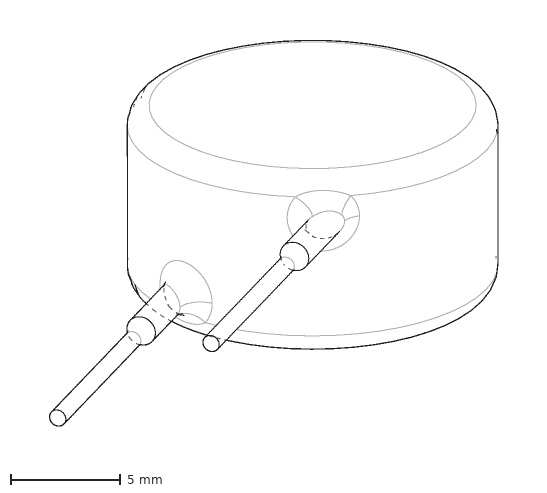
import cadquery as cq
import math

body_diameter = 17.0
body_height = 8.9
body_edge_radius = 1.0

lead_pitch = 7.5
lead_height_offset = 2.4
wire_diameter = 0.8
wire_reach = 15.0
coating_diameter = 1.4
coating_reach = 4.0
taper_radius = 2.2
root_fillet_radius = 1.0

body_radius = body_diameter / 2
wire_radius = wire_diameter / 2
coating_radius = coating_diameter / 2


def make_body():
    """Disc with rounded top and bottom rims."""
    disc = cq.Workplane("XY").circle(body_radius).extrude(body_height)
    return disc.faces("|Z").edges().fillet(body_edge_radius)


def make_lead(x, z):
    """Coated wire along -Y, starting inside the body at Y = 0."""
    coating_end = body_radius + coating_reach
    wire_end = body_radius + wire_reach
    arc_drop = coating_radius - wire_radius
    taper_length = math.sqrt(taper_radius**2 - (taper_radius - arc_drop) ** 2)
    taper_end = coating_end + taper_length
    half_angle = math.asin(taper_length / taper_radius) / 2
    arc_middle = (
        wire_radius + taper_radius * (1 - math.cos(half_angle)),
        -taper_end + taper_radius * math.sin(half_angle),
    )
    profile = (
        cq.Workplane("XY")
        .lineTo(coating_radius, 0)
        .lineTo(coating_radius, -coating_end)
        .threePointArc(arc_middle, (wire_radius, -taper_end))
        .lineTo(wire_radius, -wire_end)
        .lineTo(0, -wire_end)
        .close()
    )
    return profile.revolve(360, (0, 0), (0, 1)).translate((x, 0, z))


def add_lead(part, side):
    """Join one lead to the body and round the seam where they meet."""
    x = side * lead_pitch / 2
    z = body_height / 2 + side * lead_height_offset
    joined = part.union(make_lead(x, z))
    seam_depth = math.sqrt(body_radius**2 - x**2)
    seam = joined.edges(cq.selectors.NearestToPointSelector((x, -seam_depth, z)))
    return seam.fillet(root_fillet_radius)


result = make_body()
for side in (-1, 1):
    result = add_lead(result, side)